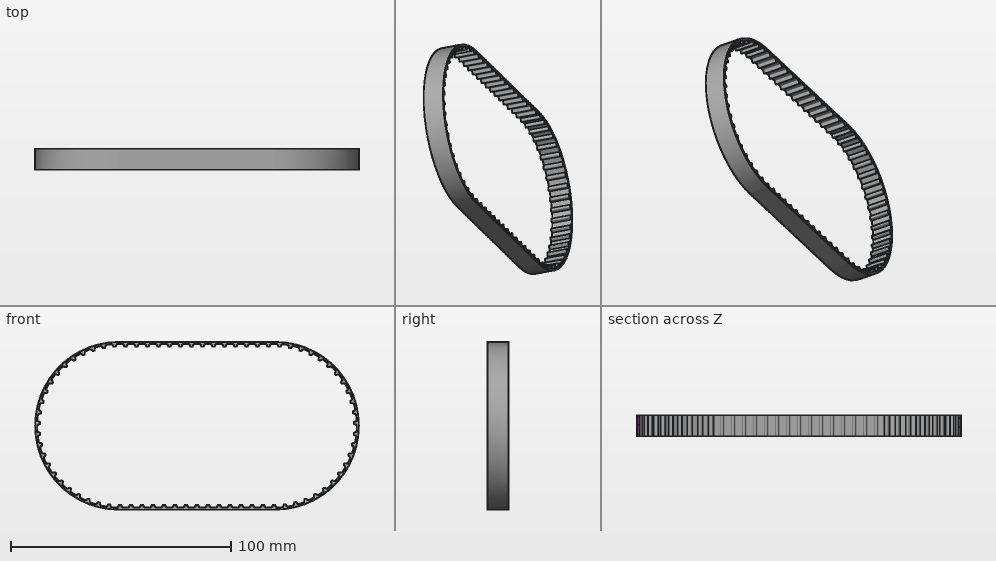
import cadquery as cq
import math

BELT_LENGTH = 147.0
BELT_WIDTH = 9.5
INNER_RADIUS = 37.0
BACKING_THICKNESS = 1.06

TOOTH_COUNT = 75
TOOTH_HEIGHT = 1.23
TOOTH_ROOT_WIDTH = 2.0
TOOTH_TIP_WIDTH = 0.9
TOOTH_RADIUS = 0.4
FOOT_WIDTH = 3.0
FOOT_DEPTH = 0.3

outer_height = 2 * (INNER_RADIUS + BACKING_THICKNESS)
inner_height = 2 * INNER_RADIUS
inner_length = BELT_LENGTH - 2 * BACKING_THICKNESS
straight = BELT_LENGTH - outer_height
end_arc = math.pi * INNER_RADIUS
pitch = 2 * (straight + end_arc) / TOOTH_COUNT


def extrude_across_belt(outline):
    """Extrude an XZ outline over the full belt width, centred on Y = 0."""
    return outline.extrude(BELT_WIDTH / 2, both=True)


def make_backing():
    """Smooth outer band of the belt."""
    outer = extrude_across_belt(cq.Workplane("XZ").slot2D(BELT_LENGTH, outer_height))
    inner = extrude_across_belt(cq.Workplane("XZ").slot2D(inner_length, inner_height))
    return outer.cut(inner)


def make_tooth():
    """One rounded trapezoidal tooth pointing up, on a foot whose top face is Z = 0."""
    half_foot = FOOT_WIDTH / 2
    half_root = TOOTH_ROOT_WIDTH / 2
    half_tip = TOOTH_TIP_WIDTH / 2
    outline = [
        (-half_foot, -FOOT_DEPTH),
        (half_foot, -FOOT_DEPTH),
        (half_foot, 0),
        (half_root, 0),
        (half_tip, TOOTH_HEIGHT),
        (-half_tip, TOOTH_HEIGHT),
        (-half_root, 0),
        (-half_foot, 0),
    ]
    blank = extrude_across_belt(cq.Workplane("XZ").polyline(outline).close())
    box_half_width = (half_root + half_foot) / 2
    tooth_corners = cq.selectors.BoxSelector(
        (-box_half_width, -BELT_WIDTH, -FOOT_DEPTH / 2),
        (box_half_width, BELT_WIDTH, 2 * TOOTH_HEIGHT),
    )
    return blank.edges("|Y").edges(tooth_corners).fillet(TOOTH_RADIUS)


def place_on_right_half(tooth, distance):
    """Move a tooth along the inner face, from the bottom centre toward +X and up around the end."""
    along_end = distance - straight / 2
    if along_end <= 0:
        return tooth.translate((distance, 0, -INNER_RADIUS))
    if along_end >= end_arc:
        x = straight / 2 - (along_end - end_arc)
        return tooth.rotate((0, 0, 0), (0, 1, 0), 180).translate((x, 0, INNER_RADIUS))
    angle = math.degrees(along_end / INNER_RADIUS)
    on_end = tooth.translate((0, 0, -INNER_RADIUS)).rotate((0, 0, 0), (0, 1, 0), -angle)
    return on_end.translate((straight / 2, 0, 0))


def make_teeth():
    """The odd tooth sits at the bottom centre and the others form mirrored pairs."""
    tooth = make_tooth()
    teeth = [place_on_right_half(tooth, 0)]
    for index in range(1, TOOTH_COUNT // 2 + 1):
        right_tooth = place_on_right_half(tooth, index * pitch)
        teeth.append(right_tooth)
        teeth.append(right_tooth.mirror("YZ"))
    return teeth


tooth_solids = [tooth.val() for tooth in make_teeth()]
belt = make_backing().val().fuse(*tooth_solids).clean()
result = cq.Workplane(belt.Solids()[0])